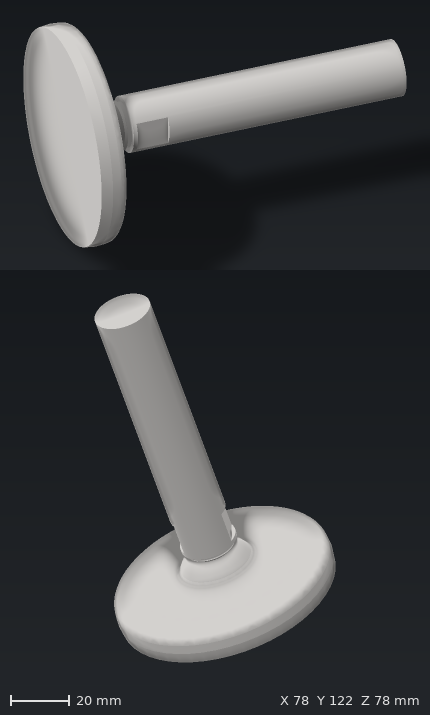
import cadquery as cq
import math


TOTAL_LENGTH = 122.0

BASE_RADIUS = 38.99
PARTING_HEIGHT = 4.0
LOWER_DRAFT = 7.0
UPPER_DRAFT = 5.0
SHOULDER_RADIUS = 3.0
TOP_SLOPE = 9.4
SLOPE_CORNER_HEIGHT = 9.5
DOME_RADIUS = 14.4
DOME_CENTER_HEIGHT = 7.9
DOME_ROOT_RADIUS = 2.5
DOME_TOP_HEIGHT = 19.9

SHAFT_RADIUS = 20.0 / 2
SHAFT_START = 22.4
COLLAR_RADIUS = 8.7
COLLAR_HEIGHT = 20.7
NECK_RADIUS = 5.7
NECK_HEIGHT = 21.7
GROOVE_TOP_RADIUS = 8.1
FLATS_WIDTH = 17.0
FLATS_START = 23.9
FLATS_LENGTH = 11.5

LOWER_TAPER = math.tan(math.radians(LOWER_DRAFT))
UPPER_TAPER = math.tan(math.radians(UPPER_DRAFT))
SLOPE = math.tan(math.radians(TOP_SLOPE))
BOTTOM_RADIUS = BASE_RADIUS - PARTING_HEIGHT * LOWER_TAPER
SLOPE_CORNER_RADIUS = BASE_RADIUS - (SLOPE_CORNER_HEIGHT - PARTING_HEIGHT) * UPPER_TAPER


def dome_radius_at(height):
    """Radius of the dome's circular section at a given height."""
    return math.sqrt(DOME_RADIUS**2 - (height - DOME_CENTER_HEIGHT) ** 2)


SEAT_RADIUS = dome_radius_at(DOME_TOP_HEIGHT)


def dome_root():
    """Point (radius, height) where the sloping top runs into the dome."""
    rise = SLOPE_CORNER_HEIGHT + SLOPE_CORNER_RADIUS * SLOPE - DOME_CENTER_HEIGHT
    square = 1 + SLOPE**2
    reach = math.sqrt(square * DOME_RADIUS**2 - rise**2)
    radius = (rise * SLOPE + reach) / square
    return radius, DOME_CENTER_HEIGHT + rise - radius * SLOPE


def revolve_about_y(profile):
    return profile.close().revolve(360, (0, 0, 0), (0, 1, 0))


def round_circle(solid, height, fillet_radius):
    """Fillet the circular edge lying at a given height."""
    margin = 0.01
    reach = 2 * BASE_RADIUS
    slab = cq.selectors.BoxSelector(
        (-reach, height - margin, -reach),
        (reach, height + margin, reach),
    )
    return solid.edges("%CIRCLE").edges(slab).fillet(fillet_radius)


def make_base():
    root_radius, root_height = dome_root()
    middle_height = (root_height + DOME_TOP_HEIGHT) / 2
    profile = (
        cq.Workplane("XY")
        .lineTo(BOTTOM_RADIUS, 0)
        .lineTo(BASE_RADIUS, PARTING_HEIGHT)
        .lineTo(SLOPE_CORNER_RADIUS, SLOPE_CORNER_HEIGHT)
        .lineTo(root_radius, root_height)
        .threePointArc((dome_radius_at(middle_height), middle_height), (SEAT_RADIUS, DOME_TOP_HEIGHT))
        .lineTo(0, DOME_TOP_HEIGHT)
    )
    base = revolve_about_y(profile)
    base = round_circle(base, SLOPE_CORNER_HEIGHT, SHOULDER_RADIUS)
    return round_circle(base, root_height, DOME_ROOT_RADIUS)


def make_spindle():
    profile = (
        cq.Workplane("XY")
        .moveTo(0, DOME_TOP_HEIGHT)
        .lineTo(SEAT_RADIUS, DOME_TOP_HEIGHT)
        .lineTo(COLLAR_RADIUS, COLLAR_HEIGHT)
        .lineTo(NECK_RADIUS, NECK_HEIGHT)
        .lineTo(GROOVE_TOP_RADIUS, SHAFT_START)
        .lineTo(SHAFT_RADIUS, SHAFT_START)
        .lineTo(SHAFT_RADIUS, TOTAL_LENGTH)
        .lineTo(0, TOTAL_LENGTH)
    )
    return cut_wrench_flats(revolve_about_y(profile))


def cut_wrench_flats(spindle):
    """Two opposite flats, facing -X and +X, just above the lower end of the shaft."""
    for side in (-1, 1):
        cutter = cq.Workplane("XY").box(SHAFT_RADIUS, FLATS_LENGTH, 2 * SHAFT_RADIUS)
        offset = (FLATS_WIDTH + SHAFT_RADIUS) / 2
        spindle = spindle.cut(cutter.translate((side * offset, FLATS_START + FLATS_LENGTH / 2, 0)))
    return spindle


base = make_base()
spindle = make_spindle()

result = cq.Compound.makeCompound([base.val(), spindle.val()])